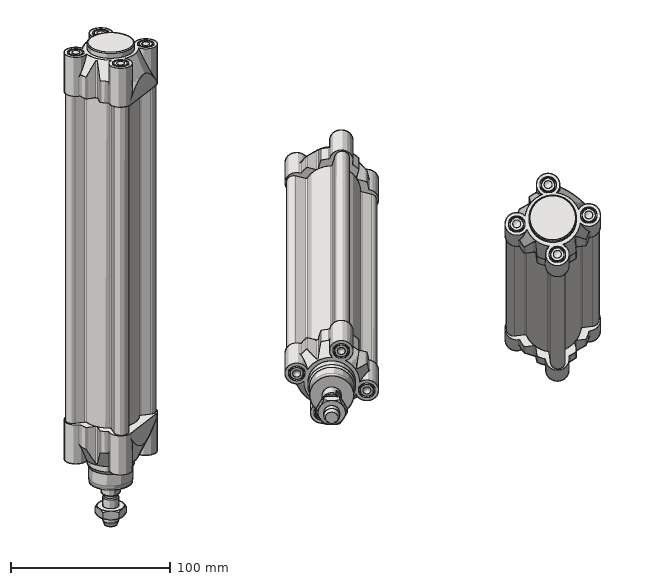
import cadquery as cq
import math

overall_length = 336.0
rear_disc_height = 4.0
cap_height = 27.2
front_cap_bottom = 48.5

rear_cap_top = overall_length - rear_disc_height
barrel_top = rear_cap_top - cap_height
barrel_bottom = front_cap_bottom + cap_height

cap_width = 47.0
corner_post_radius = 7.5
corner_post_offset = cap_width / 2 - corner_post_radius
cap_core_radius = 23.2
cap_cone_top_radius = 17.5
cap_cone_height = 12.0
groove_half_width = 5.0
cap_fillet = 1.0
spigot_diameter = 30.0
disc_chamfer = 0.7

screw_recess_diameter = 10.5
screw_head_diameter = 8.5
screw_recess_depth = 2.0
screw_bore_diameter = 5.0
screw_cone_depth = 1.5

collar_height = 5.0
collar_taper_height = 2.0
neck_radius = 14.0
neck_bottom = 30.2
neck_tip_radius = 13.8
neck_tip_height = 1.0
neck_taper_height = 2.0

tube_radius = 18.0
rib_radius = 4.7
rib_center_offset = 17.5
barrel_valley_fillet = 1.0

rod_diameter = 12.0
rod_shoulder = 22.0
flat_top = 26.5
flat_width = 10.0
relief_diameter = 8.5
thread_diameter = 10.0
thread_top = 19.8
thread_tip_diameter = 8.0
thread_tip_height = 3.0
shoulder_chamfer = 0.7

nut_across_flats = 17.0
nut_height = 6.0
nut_bottom = 7.0
nut_chamfer_height = 1.0

nut_across_corners = nut_across_flats / math.cos(math.radians(30))


def cylinder(radius, bottom, top):
    return cq.Workplane("XY").workplane(offset=bottom).circle(radius).extrude(top - bottom)


def revolved(profile):
    """Turn a closed (radius, height) outline about the Z axis."""
    return cq.Workplane("XZ").polyline(profile).close().revolve(360, (0, 0, 0), (0, 1, 0))


def corner_points(offset):
    return [(x, y) for x in (-offset, offset) for y in (-offset, offset)]


def at_quarter_turns(shape):
    """The shape joined with its copies at each quarter turn about the Z axis."""
    joined = shape
    for turn in (90, 180, 270):
        joined = joined.union(shape.rotate((0, 0, 0), (0, 0, 1), turn))
    return joined


def cone_envelope():
    """Blank reaching past the pad corners, with the cone that ends the cap core and the pad."""
    radius = cap_width / math.sqrt(2)
    slope = cap_cone_height / (cap_core_radius - cap_cone_top_radius)
    shoulder = cap_height - slope * (radius - cap_cone_top_radius)
    return revolved([
        (0, 0),
        (radius, 0),
        (radius, shoulder),
        (cap_cone_top_radius, cap_height),
        (0, cap_height),
    ])


def side_grooves():
    """V grooves with square corners, centred on all four sides of the cap core."""
    mouth = math.sqrt(cap_core_radius**2 - groove_half_width**2)
    bottom = mouth - groove_half_width
    outer = cap_width / 2
    groove = (
        cq.Workplane("XY")
        .polyline([(bottom, 0), (outer, outer - bottom), (outer, bottom - outer)])
        .close()
        .extrude(cap_height)
    )
    return at_quarter_turns(groove)


def corner_posts():
    """Round posts at the four corners, each a quarter turn from the one before."""
    post = cylinder(corner_post_radius, 0, cap_height).translate((-corner_post_offset, -corner_post_offset, 0))
    return at_quarter_turns(post)


def port_pad():
    """Flat pad on the +X side, closing the gap between the two corner posts there."""
    return (
        cq.Workplane("XY")
        .rect(cap_width / 2, 2 * corner_post_offset)
        .extrude(cap_height)
        .translate((cap_width / 4, 0, 0))
    )


def screw_recess():
    """Ring gap around a screw head plus the coned recess in the head, at the outer end of a post."""
    floor = cap_height - screw_recess_depth
    ring = cylinder(screw_recess_diameter / 2, floor, cap_height)
    ring = ring.cut(cylinder(screw_head_diameter / 2, floor, cap_height))
    cone = revolved([(0, cap_height - screw_cone_depth), (screw_bore_diameter / 2, cap_height), (0, cap_height)])
    return ring.union(cone)


def end_cap():
    """Cap with its barrel face at Z = 0 and its outer end at Z = cap_height."""
    posts = corner_posts()
    core = cylinder(cap_core_radius, 0, cap_height).cut(side_grooves()).union(posts)
    core = core.edges("|Z").fillet(cap_fillet)
    cap = core.union(port_pad()).intersect(cone_envelope()).union(posts)
    for x, y in corner_points(corner_post_offset):
        cap = cap.cut(screw_recess().translate((x, y, 0)))
    return cap


def make_rear_cap():
    disc = cylinder(spigot_diameter / 2, rear_cap_top, overall_length).faces(">Z").chamfer(disc_chamfer)
    return end_cap().translate((0, 0, barrel_top)).union(disc)


def make_front_cap():
    cap = end_cap().rotate((0, 0, 0), (1, 0, 0), 180).translate((0, 0, barrel_bottom))
    collar_bottom = front_cap_bottom - collar_height
    neck = revolved([
        (0, front_cap_bottom),
        (spigot_diameter / 2, front_cap_bottom),
        (spigot_diameter / 2, collar_bottom),
        (neck_radius, collar_bottom - collar_taper_height),
        (neck_radius, neck_bottom + neck_tip_height + neck_taper_height),
        (neck_tip_radius, neck_bottom + neck_tip_height),
        (neck_tip_radius, neck_bottom),
        (0, neck_bottom),
    ])
    rod_bore = cylinder(rod_diameter / 2, neck_bottom, barrel_bottom)
    return cap.union(neck).cut(rod_bore)


def make_barrel():
    """Tube with a round-ended rib running along each of its four corners."""
    length = barrel_top - barrel_bottom
    barrel = cylinder(tube_radius, barrel_bottom, barrel_top).rotate((0, 0, 0), (0, 0, 1), 45)
    rib_center_radius = rib_center_offset * math.sqrt(2)
    rib_pair = (
        cq.Workplane("XY")
        .workplane(offset=barrel_bottom)
        .slot2D(2 * (rib_center_radius + rib_radius), 2 * rib_radius)
        .extrude(length)
    )
    for turn in (45, 135):
        barrel = barrel.union(rib_pair.rotate((0, 0, 0), (0, 0, 1), turn))
    valleys = barrel.edges("|Z").filter(
        lambda edge: math.isclose(math.hypot(edge.Center().x, edge.Center().y), tube_radius, rel_tol=1e-4)
    )
    return valleys.fillet(barrel_valley_fillet)


def make_rod():
    """Piston rod with wrench flats, a relief groove and a threaded end."""
    rod_radius = rod_diameter / 2
    relief_radius = relief_diameter / 2
    thread_radius = thread_diameter / 2
    rod = revolved([
        (0, 0),
        (thread_tip_diameter / 2, 0),
        (thread_radius, thread_tip_height),
        (thread_radius, thread_top - shoulder_chamfer),
        (relief_radius, thread_top),
        (relief_radius, rod_shoulder),
        (rod_radius - shoulder_chamfer, rod_shoulder),
        (rod_radius, rod_shoulder + shoulder_chamfer),
        (rod_radius, barrel_bottom),
        (0, barrel_bottom),
    ])
    flat_zone = (
        cq.Workplane("XY")
        .workplane(offset=rod_shoulder)
        .rect(rod_diameter, rod_diameter)
        .extrude(flat_top - rod_shoulder)
    )
    between_flats = (
        cq.Workplane("XY")
        .workplane(offset=rod_shoulder)
        .rect(flat_width, rod_diameter)
        .extrude(flat_top - rod_shoulder)
    )
    return rod.cut(flat_zone.cut(between_flats))


def make_nut():
    """Hexagon nut with two flats facing X and its corners chamfered at both ends."""
    top = nut_bottom + nut_height
    hexagon = (
        cq.Workplane("XY")
        .workplane(offset=nut_bottom)
        .polygon(6, nut_across_corners)
        .extrude(nut_height)
        .rotate((0, 0, 0), (0, 0, 1), 30)
    )
    corner_radius = nut_across_corners / 2
    flat_radius = nut_across_flats / 2
    chamfered_blank = revolved([
        (0, nut_bottom),
        (flat_radius, nut_bottom),
        (corner_radius, nut_bottom + nut_chamfer_height),
        (corner_radius, top - nut_chamfer_height),
        (flat_radius, top),
        (0, top),
    ])
    return hexagon.intersect(chamfered_blank).cut(cylinder(thread_diameter / 2, nut_bottom, top))


barrel = make_barrel()
rear_cap = make_rear_cap()
front_cap = make_front_cap()
rod = make_rod()
nut = make_nut()

result = cq.Compound.makeCompound([barrel.val(), rear_cap.val(), front_cap.val(), rod.val(), nut.val()])